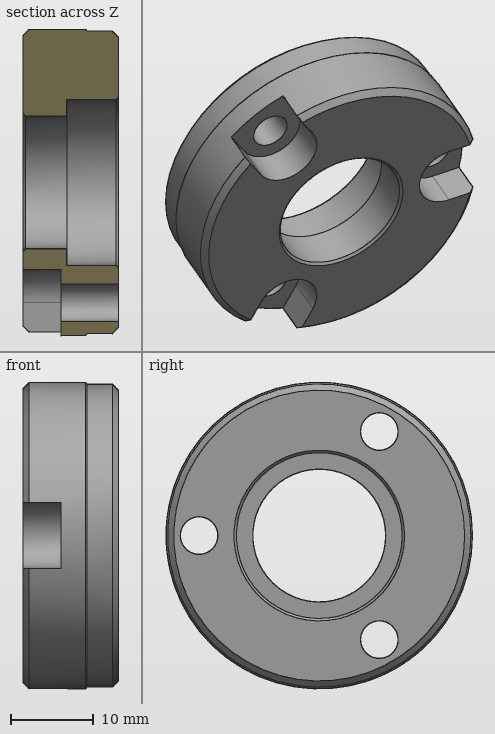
import cadquery as cq

outer_diameter = 37.0
width = 11.56
edge_chamfer = 0.75

spigot_diameter = 36.6
spigot_length = 3.8
step_chamfer = 0.2

bore_diameter = 16.0
bore_chamfer = 0.3
bore_depth = 5.3
counterbore_diameter = 20.0

screw_count = 3
screw_circle_radius = 14.5
screw_hole_diameter = 4.5
pocket_width = 8.0
pocket_depth = 4.6
first_screw_angle = 180.0


def ring_body():
    """Turned ring profile, revolved about the X axis."""
    outer_radius = outer_diameter / 2
    spigot_radius = spigot_diameter / 2
    bore_radius = bore_diameter / 2
    counterbore_radius = counterbore_diameter / 2
    spigot_start = width - spigot_length
    profile = (
        cq.Workplane("XY")
        .moveTo(0, bore_radius + bore_chamfer)
        .lineTo(0, outer_radius - edge_chamfer)
        .lineTo(edge_chamfer, outer_radius)
        .lineTo(spigot_start - step_chamfer, outer_radius)
        .lineTo(spigot_start, spigot_radius)
        .lineTo(width - edge_chamfer, spigot_radius)
        .lineTo(width, spigot_radius - edge_chamfer)
        .lineTo(width, counterbore_radius + bore_chamfer)
        .lineTo(width - bore_chamfer, counterbore_radius)
        .lineTo(bore_depth, counterbore_radius)
        .lineTo(bore_depth, bore_radius)
        .lineTo(bore_chamfer, bore_radius)
        .close()
    )
    return profile.revolve(360, (0, 0, 0), (1, 0, 0))


def screw_seat():
    """Cutter on the +Y side: through hole plus a round-ended pocket open to the rim."""
    outer_radius = outer_diameter / 2
    seat_center = cq.Workplane("YZ").center(screw_circle_radius, 0)
    hole = seat_center.circle(screw_hole_diameter / 2).extrude(width)
    round_end = seat_center.circle(pocket_width / 2).extrude(pocket_depth)
    open_end = (
        seat_center
        .rect(outer_radius, pocket_width, centered=(False, True))
        .extrude(pocket_depth)
    )
    return hole.union(round_end).union(open_end)


result = ring_body()
for index in range(screw_count):
    angle = first_screw_angle + index * 360 / screw_count
    result = result.cut(screw_seat().rotate((0, 0, 0), (1, 0, 0), angle))